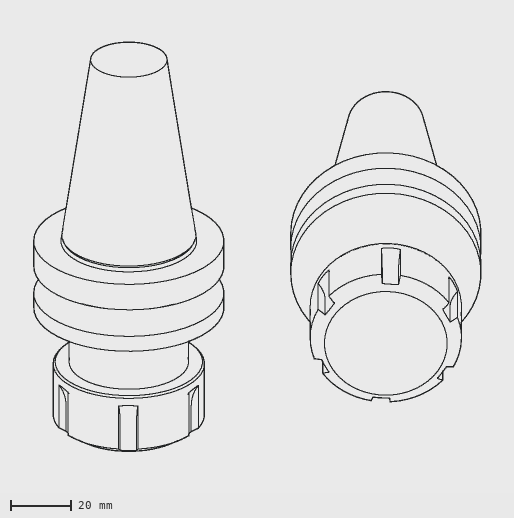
import cadquery as cq
import math

total_height = 135.4
gauge_z = 70.0
flange_top_z = 68.0
groove_top_z = 58.5
groove_floor_top_z = 55.8
groove_floor_bottom_z = 51.3
groove_bottom_z = 48.6
flange_bottom_z = 43.0
nut_top_z = 22.9

gauge_radius = 22.2
taper_ratio = 7 / 24
tip_radius = gauge_radius - taper_ratio * (total_height - gauge_z) / 2
relief_z = 69.2
relief_radius = 21.8
relief_base_radius = 22.5

flange_radius = 63.0 / 2
groove_radius = 53.0 / 2
groove_fillet = 0.5
neck_radius = 19.8
neck_fillet = 1.8

nut_radius = 25.0
nut_top_chamfer = 0.7
nut_chamfer_height = 3.2
nut_bottom_radius = 20.3

slot_count = 6
slot_mouth_width = 6.4
slot_floor_width = 5.4
slot_floor_radius = 22.3
slot_arc_start_z = 11.0
slot_arc_radius = 14.9
slot_clearance = 1.4


def make_body():
    """Solid of revolution: nut, neck, grooved flange and taper."""
    fillet_offset = neck_fillet * (1 - math.sqrt(0.5))
    profile = (
        cq.Workplane("XZ")
        .lineTo(nut_bottom_radius, 0)
        .lineTo(nut_radius, nut_chamfer_height)
        .lineTo(nut_radius, nut_top_z - nut_top_chamfer)
        .lineTo(nut_radius - nut_top_chamfer, nut_top_z)
        .lineTo(neck_radius, nut_top_z)
        .lineTo(neck_radius, flange_bottom_z - neck_fillet)
        .threePointArc(
            (neck_radius + fillet_offset, flange_bottom_z - fillet_offset),
            (neck_radius + neck_fillet, flange_bottom_z),
        )
        .lineTo(flange_radius, flange_bottom_z)
        .lineTo(flange_radius, groove_bottom_z)
        .lineTo(groove_radius, groove_floor_bottom_z)
        .lineTo(groove_radius, groove_floor_top_z)
        .lineTo(flange_radius, groove_top_z)
        .lineTo(flange_radius, flange_top_z)
        .lineTo(relief_base_radius, flange_top_z)
        .lineTo(relief_radius, relief_z)
        .lineTo(gauge_radius, gauge_z)
        .lineTo(tip_radius, total_height)
        .lineTo(0, total_height)
        .close()
    )
    body = profile.revolve(360, (0, 0), (0, 1))
    groove_wall = cq.selectors.BoxSelector(
        (-flange_radius, -flange_radius, groove_floor_bottom_z - groove_fillet),
        (flange_radius, flange_radius, groove_floor_top_z + groove_fillet),
    )
    return body.faces(groove_wall).edges("%CIRCLE").fillet(groove_fillet)


def make_slot_cutter():
    """Cutter on the +X side: flat floor that runs out upward along an arc."""
    outer_x = nut_radius + slot_clearance
    arc_center_x = slot_floor_radius + slot_arc_radius

    def arc_point(x):
        rise = math.sqrt(slot_arc_radius**2 - (arc_center_x - x)**2)
        return (x, slot_arc_start_z + rise)

    side_profile = (
        cq.Workplane("XZ")
        .moveTo(slot_floor_radius, -slot_clearance)
        .lineTo(slot_floor_radius, slot_arc_start_z)
        .threePointArc(arc_point((slot_floor_radius + outer_x) / 2), arc_point(outer_x))
        .lineTo(outer_x, -slot_clearance)
        .close()
        .extrude(slot_mouth_width, both=True)
    )
    wall_slope = (slot_mouth_width - slot_floor_width) / 2 / (nut_radius - slot_floor_radius)
    floor_half_width = slot_floor_width / 2
    outer_half_width = floor_half_width + wall_slope * (outer_x - slot_floor_radius)
    wedge = (
        cq.Workplane("XY")
        .workplane(offset=-slot_clearance)
        .moveTo(slot_floor_radius, -floor_half_width)
        .lineTo(outer_x, -outer_half_width)
        .lineTo(outer_x, outer_half_width)
        .lineTo(slot_floor_radius, floor_half_width)
        .close()
        .extrude(nut_top_z + slot_clearance)
    )
    return side_profile.intersect(wedge)


result = make_body()
slot_cutter = make_slot_cutter()
for index in range(slot_count):
    angle = -90 + index * 360 / slot_count
    result = result.cut(slot_cutter.rotate((0, 0, 0), (0, 0, 1), angle))